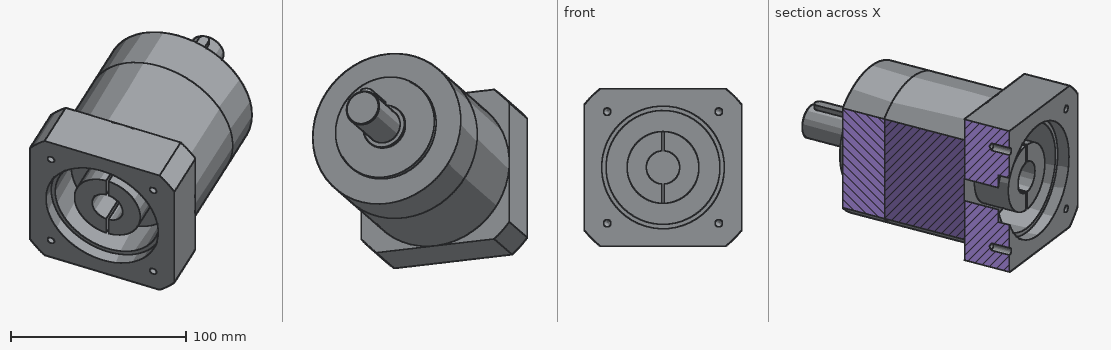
import cadquery as cq
import math


adapter_width = 90.0
adapter_length = 30.0
adapter_corner_diameter = 115.0
motor_pilot_diameter = 70.0
motor_pilot_depth = 7.5
adapter_bore_diameter = 65.0
motor_bolt_circle = 90.0
motor_bolt_hole_diameter = 4.2
motor_bolt_hole_depth = 12.0
drill_point_angle = 118.0

hub_diameter = 41.0
hub_bore = 19.0
hub_slit_width = 1.5
hub_base_thickness = 4.0
hub_face_y = motor_pilot_depth

case_diameter = 90.0
gear_case_length = 53.0
output_housing_length = 27.5
output_pilot_diameter = 60.0
output_pilot_length = 3.0

shaft_diameter = 20.0
shaft_length = 35.0
shaft_collar_diameter = 25.0
shaft_collar_length = 2.0
shaft_end_chamfer = 0.5
key_width = 6.0
key_height = 6.0
key_length = 30.0
key_seat_depth = 3.5
key_end_gap = 3.0

gear_case_y = adapter_length
output_housing_y = gear_case_y + gear_case_length
output_pilot_y = output_housing_y + output_housing_length
shaft_collar_y = output_pilot_y + output_pilot_length
shaft_y = shaft_collar_y + shaft_collar_length
shaft_end_y = shaft_y + shaft_length
key_bottom_z = shaft_diameter / 2 - key_seat_depth
key_center_y = shaft_end_y - key_end_gap - key_length / 2


def cylinder(diameter, start_y, length):
    """Solid cylinder on the Y axis that starts at start_y and runs toward +Y."""
    plane = cq.Workplane("XZ", origin=(0, start_y, 0))
    return plane.circle(diameter / 2).extrude(-length)


def drilled_hole():
    """Blind hole with a conical drill point, on the Y axis from the motor face."""
    radius = motor_bolt_hole_diameter / 2
    point_length = radius / math.tan(math.radians(drill_point_angle / 2))
    half_section = (
        cq.Workplane("XY")
        .lineTo(radius, 0)
        .lineTo(radius, motor_bolt_hole_depth)
        .lineTo(0, motor_bolt_hole_depth + point_length)
        .close()
    )
    return half_section.revolve(360, (0, 0, 0), (0, 1, 0))


def make_adapter():
    """Square motor flange with rounded corners, stepped through bore and four bolt holes."""
    block = cq.Workplane("XZ").rect(adapter_width, adapter_width).extrude(-adapter_length)
    body = block.intersect(cylinder(adapter_corner_diameter, 0, adapter_length))
    body = body.cut(cylinder(motor_pilot_diameter, 0, motor_pilot_depth))
    body = body.cut(cylinder(adapter_bore_diameter, 0, adapter_length))
    bolt_offset = motor_bolt_circle / 2 * math.sin(math.radians(45))
    for x_side in (-1, 1):
        for z_side in (-1, 1):
            hole = drilled_hole().translate((x_side * bolt_offset, 0, z_side * bolt_offset))
            body = body.cut(hole)
    return body


def make_clamp_hub():
    """Bored hub on the gear case face, slit across its diameter down to a solid base."""
    hub_length = gear_case_y - hub_face_y
    slit_depth = hub_length - hub_base_thickness
    slit = (
        cq.Workplane("XZ", origin=(0, hub_face_y, 0))
        .rect(hub_slit_width, hub_diameter)
        .extrude(-slit_depth)
    )
    hub = cylinder(hub_diameter, hub_face_y, hub_length)
    return hub.cut(cylinder(hub_bore, hub_face_y, slit_depth)).cut(slit)


def make_gear_case():
    """Plain round case between the adapter and the output housing."""
    return cylinder(case_diameter, gear_case_y, gear_case_length)


def make_output_housing():
    """Round housing with a raised pilot on its output face."""
    housing = cylinder(case_diameter, output_housing_y, output_housing_length)
    return housing.union(cylinder(output_pilot_diameter, output_pilot_y, output_pilot_length))


def make_key():
    """Round-ended parallel key, lying along Y in the top of the shaft."""
    return (
        cq.Workplane("XY", origin=(0, key_center_y, key_bottom_z))
        .slot2D(key_length, key_width, 90)
        .extrude(key_height)
    )


def make_output_shaft(key):
    """Collared shaft with a chamfered end and a seat that fits the key."""
    shaft = cylinder(shaft_diameter, shaft_y, shaft_length)
    shaft = shaft.faces(">Y").chamfer(shaft_end_chamfer)
    collar = cylinder(shaft_collar_diameter, shaft_collar_y, shaft_collar_length)
    return collar.union(shaft).cut(key)


adapter = make_adapter()
clamp_hub = make_clamp_hub()
gear_case = make_gear_case()
output_housing = make_output_housing()
shaft_key = make_key()
output_shaft = make_output_shaft(shaft_key)

result = cq.Compound.makeCompound([
    adapter.val(),
    clamp_hub.val(),
    gear_case.val(),
    output_housing.val(),
    shaft_key.val(),
    output_shaft.val(),
])